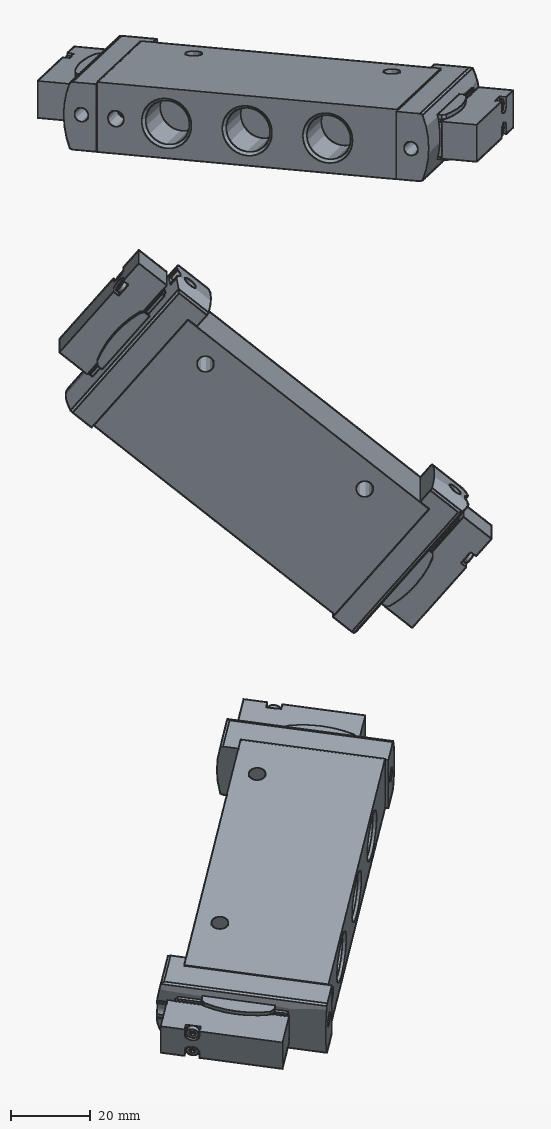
import cadquery as cq
import math

BODY_LENGTH = 78.6
BODY_HEIGHT = 18.3
BODY_FRONT_Y = -20.7
BODY_BACK_Y = 16.0

PORT_PITCH = 21.1
PORT_DIAMETER = 11.45
PORT_MOUTH_DIAMETER = 13.0
PORT_MOUTH_DEPTH = 0.8
PORT_DEPTH = 13.0

PILOT_X = -34.4
PILOT_DIAMETER = 4.13
PILOT_DEPTH = 8.0
DRILL_POINT_ANGLE = 118.0

MOUNT_HOLE_DIAMETER = 4.2
MOUNT_HOLE_XS = (-23.5, 28.4)
MOUNT_HOLE_Y = 9.8

CAP_HEIGHT = 17.7
CAP_FRONT_Y = -21.55
CAP_BACK_Y = 21.55
CAP_INNER_X = -BODY_LENGTH / 2
CAP_OUTER_X = -47.8
CAP_SIDE_BULGE = 1.6
CAP_BACK_BULGE = 0.9
CAP_BEVEL_WIDTH = 0.7
CAP_BEVEL_HEIGHT = 0.3
FLANGE_INNER_X = -36.4

OFFSET_Z = 0.5
CAP_HOLE_DIAMETER = 3.6
CAP_HOLE_X = -43.15

GROOVE_RADIUS = 2.45
GROOVE_START_Y = 18.9
GROOVE_MOUTH_WIDTH = 6.1
GROOVE_MOUTH_DEPTH = 0.5
GROOVE_DEPTH = 1.5

SOLENOID_OUTER_X = -57.5
SOLENOID_INNER_X = -48.35
SOLENOID_BACK_Y = 18.6
SOLENOID_FRONT_Y = -12.35
SOLENOID_HEIGHT = 9.7
NECK_BACK_Y = 16.8
NECK_INSET = 0.3
PAD_OUTER_X = -47.9
PAD_BACK_Y = 16.2
PAD_FRONT_Y = -11.9

SCREW_Y = 10.65
SCREW_SPACING = 6.3
SCREW_POCKET_DIAMETER = 3.8
SCREW_POCKET_DEPTH = 1.7
SCREW_HEAD_DIAMETER = 3.2
SCREW_HEAD_HEIGHT = 1.2
SOCKET_ACROSS_CORNERS = 1.6
SOCKET_DEPTH = 0.8

LUG_LENGTH = 18.5
LUG_CORNER_X = -48.2
LUG_ARC_START_X = -49.1
LUG_PEAK_X = -50.45
LUG_CORNER_SETBACK = 0.85
LUG_ROOT_X = -46.0
LUG_THICKNESS = 1.15
LUG_GAP = 0.4
UPPER_LUG_Y = 0.7
LOWER_LUG_Y = -2.6


def box(x_range, y_range, z_range):
    """Box spanning the given ranges."""
    return cq.Workplane("XY").box(
        x_range[1] - x_range[0],
        y_range[1] - y_range[0],
        z_range[1] - z_range[0],
        centered=False,
    ).translate((x_range[0], y_range[0], z_range[0]))


def front_bore(x, diameter, depth):
    """Round bore running into the body from its front face."""
    return cq.Workplane("XZ", origin=(x, BODY_FRONT_Y, 0)).circle(diameter / 2).extrude(-depth)


def port_cutter(x):
    """Port bore with a conical mouth."""
    mouth = (
        cq.Workplane("XZ", origin=(x, BODY_FRONT_Y, 0))
        .circle(PORT_MOUTH_DIAMETER / 2)
        .workplane(offset=-PORT_MOUTH_DEPTH)
        .circle(PORT_DIAMETER / 2)
        .loft()
    )
    return front_bore(x, PORT_DIAMETER, PORT_DEPTH).union(mouth)


def pilot_cutter():
    """Pilot port: a drilled hole revolved about its own axis."""
    radius = PILOT_DIAMETER / 2
    tip_length = radius / math.tan(math.radians(DRILL_POINT_ANGLE / 2))
    return (
        cq.Workplane("XY", origin=(PILOT_X, BODY_FRONT_Y, 0))
        .polyline([(0, 0), (radius, 0), (radius, PILOT_DEPTH), (0, PILOT_DEPTH + tip_length)])
        .close()
        .revolve(360, (0, 0, 0), (0, 1, 0))
    )


def make_body():
    half_length = BODY_LENGTH / 2
    half_height = BODY_HEIGHT / 2
    body = box((-half_length, half_length), (BODY_FRONT_Y, BODY_BACK_Y), (-half_height, half_height))
    for step in (-1, 0, 1):
        body = body.cut(port_cutter(step * PORT_PITCH))
    body = body.cut(pilot_cutter())
    mount_holes = (
        cq.Workplane("XY", origin=(0, 0, -half_height))
        .pushPoints([(x, MOUNT_HOLE_Y) for x in MOUNT_HOLE_XS])
        .circle(MOUNT_HOLE_DIAMETER / 2)
        .extrude(BODY_HEIGHT)
    )
    return body.cut(mount_holes)


def bulged_profile(plane, flat_end, peak, bulge):
    """Closed outline with a straight end and a bevelled, bulged end; height runs along Z."""
    side = math.copysign(1, peak - flat_end)
    half_height = CAP_HEIGHT / 2
    shoulder = peak - side * bulge
    arc_end_height = half_height - CAP_BEVEL_HEIGHT
    bevel_start = shoulder - side * CAP_BEVEL_WIDTH
    return (
        cq.Workplane(plane)
        .moveTo(flat_end, -half_height)
        .lineTo(bevel_start, -half_height)
        .lineTo(shoulder, -arc_end_height)
        .threePointArc((peak, 0), (shoulder, arc_end_height))
        .lineTo(bevel_start, half_height)
        .lineTo(flat_end, half_height)
        .close()
    )


def groove_cutter():
    """Shallow flat recess with a rounded trough in it, along Y at the back of the outer side."""
    length = CAP_BACK_Y - GROOVE_START_Y
    half_mouth = GROOVE_MOUTH_WIDTH / 2
    recess = box(
        (CAP_OUTER_X, CAP_OUTER_X + GROOVE_MOUTH_DEPTH),
        (GROOVE_START_Y, CAP_BACK_Y),
        (OFFSET_Z - half_mouth, OFFSET_Z + half_mouth),
    )
    axis_x = CAP_OUTER_X + GROOVE_DEPTH - GROOVE_RADIUS
    trough = (
        cq.Workplane("XZ", origin=(axis_x, GROOVE_START_Y, OFFSET_Z))
        .circle(GROOVE_RADIUS)
        .extrude(-length)
    )
    return recess.union(trough)


def make_cap_shell():
    """L-shaped cap with bulged outer and back sides, its cross hole and its groove."""
    side_form = bulged_profile("XZ", FLANGE_INNER_X, CAP_OUTER_X, CAP_SIDE_BULGE)
    side_form = side_form.extrude(CAP_FRONT_Y - CAP_BACK_Y).translate((0, CAP_FRONT_Y, 0))
    back_form = bulged_profile("YZ", CAP_FRONT_Y, CAP_BACK_Y, CAP_BACK_BULGE)
    back_form = back_form.extrude(CAP_OUTER_X)
    body_space = box(
        (CAP_INNER_X, FLANGE_INNER_X),
        (CAP_FRONT_Y, BODY_BACK_Y),
        (-BODY_HEIGHT / 2, BODY_HEIGHT / 2),
    )
    cross_hole = (
        cq.Workplane("XZ", origin=(CAP_HOLE_X, CAP_FRONT_Y, OFFSET_Z))
        .circle(CAP_HOLE_DIAMETER / 2)
        .extrude(CAP_FRONT_Y - CAP_BACK_Y)
    )
    return side_form.intersect(back_form).cut(body_space).cut(cross_hole).cut(groove_cutter())


def make_solenoid():
    """Solenoid block with its neck, its pad and its two sunk screws."""
    half_height = SOLENOID_HEIGHT / 2
    block = box(
        (SOLENOID_OUTER_X, SOLENOID_INNER_X),
        (SOLENOID_FRONT_Y, SOLENOID_BACK_Y),
        (OFFSET_Z - half_height, OFFSET_Z + half_height),
    )
    neck_half_height = half_height - NECK_INSET
    neck = box(
        (SOLENOID_INNER_X, CAP_OUTER_X + CAP_SIDE_BULGE),
        (SOLENOID_FRONT_Y + NECK_INSET, NECK_BACK_Y),
        (OFFSET_Z - neck_half_height, OFFSET_Z + neck_half_height),
    )
    pad_half_height = half_height + LUG_GAP
    pad = box(
        (PAD_OUTER_X, CAP_OUTER_X + CAP_SIDE_BULGE),
        (PAD_FRONT_Y, PAD_BACK_Y),
        (OFFSET_Z - pad_half_height, OFFSET_Z + pad_half_height),
    )
    solenoid = block.union(neck).union(pad)
    for side in (-1, 1):
        screw_z = OFFSET_Z + side * SCREW_SPACING / 2
        face = cq.Workplane("YZ", origin=(SOLENOID_OUTER_X, SCREW_Y, screw_z))
        pocket = (
            face.circle(SCREW_POCKET_DIAMETER / 2)
            .extrude(SCREW_POCKET_DEPTH)
            .union(
                face.center(0, side * SCREW_POCKET_DIAMETER / 2)
                .rect(SCREW_POCKET_DIAMETER, SCREW_POCKET_DIAMETER)
                .extrude(SCREW_POCKET_DEPTH)
            )
        )
        head_face = cq.Workplane(
            "YZ", origin=(SOLENOID_OUTER_X + SCREW_POCKET_DEPTH - SCREW_HEAD_HEIGHT, SCREW_Y, screw_z)
        )
        head = head_face.circle(SCREW_HEAD_DIAMETER / 2).extrude(SCREW_HEAD_HEIGHT)
        socket = head_face.polygon(6, SOCKET_ACROSS_CORNERS).extrude(SOCKET_DEPTH)
        solenoid = solenoid.cut(pocket).union(head.cut(socket))
    return solenoid


def make_lug(center_y, bottom_z):
    """Thin plate with a bowed outer edge and cut corners."""
    half_length = LUG_LENGTH / 2
    arc_half_length = half_length - LUG_CORNER_SETBACK
    return (
        cq.Workplane("XY", origin=(0, center_y, bottom_z))
        .moveTo(LUG_ROOT_X, -half_length)
        .lineTo(LUG_CORNER_X, -half_length)
        .lineTo(LUG_ARC_START_X, -arc_half_length)
        .threePointArc((LUG_PEAK_X, 0), (LUG_ARC_START_X, arc_half_length))
        .lineTo(LUG_CORNER_X, half_length)
        .lineTo(LUG_ROOT_X, half_length)
        .close()
        .extrude(LUG_THICKNESS)
    )


def make_end_unit():
    """End cap with solenoid and lugs at the -X end of the body."""
    lug_offset = SOLENOID_HEIGHT / 2 + LUG_GAP
    upper_lug = make_lug(UPPER_LUG_Y, OFFSET_Z + lug_offset)
    lower_lug = make_lug(LOWER_LUG_Y, OFFSET_Z - lug_offset - LUG_THICKNESS)
    return make_cap_shell().union(make_solenoid()).union(upper_lug).union(lower_lug)


body = make_body()
end_units = []
for turn in (0, 180):
    end_units.append(make_end_unit().rotate((0, 0, 0), (0, 1, 0), turn))

result = cq.Compound.makeCompound([body.val(), *[unit.val() for unit in end_units]])